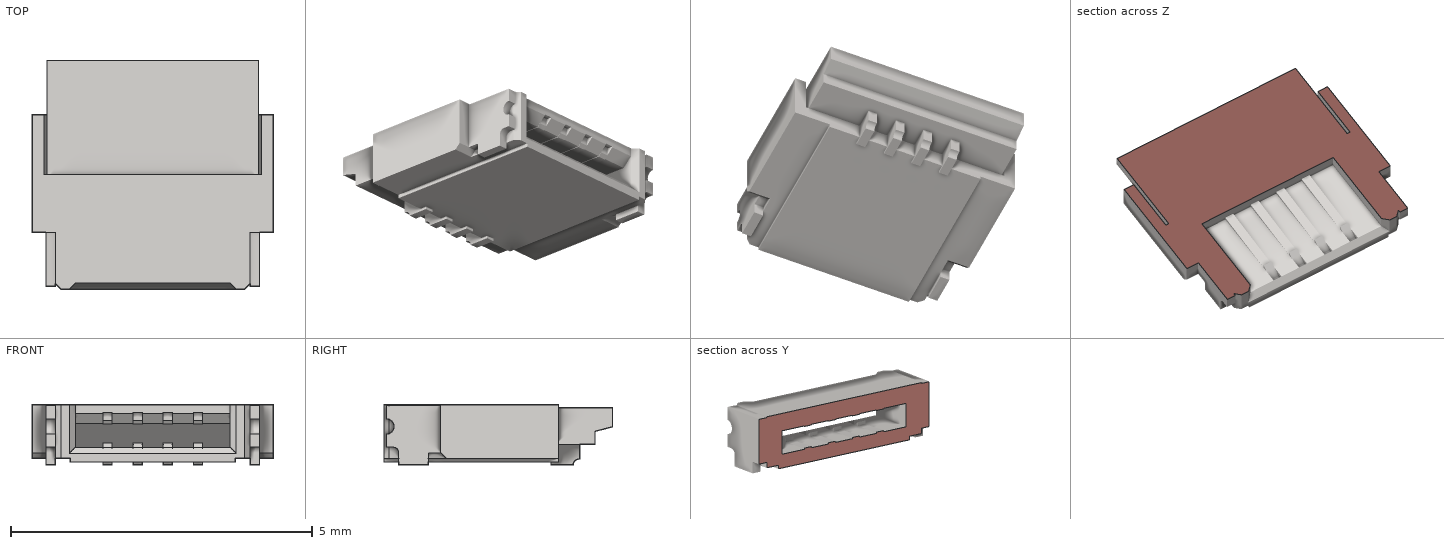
import cadquery as cq
import math


housing_width = 4.0
housing_length = 2.9
housing_bottom = 0.107
housing_top = 1.0
nose_width = 3.23
nose_length = 0.945
nose_corner_chamfer = 0.09
wing_bottom_chamfer = 0.093
base_width = 2.74
base_bottom = 0.045

mouth_bevel = 0.1
cavity_width = 2.57
cavity_depth = 1.6
cavity_floor = 0.292
roof_underside = 0.853
cavity_ceiling = 0.69

contact_count = 4
contact_pitch = 0.5
contact_width = 0.155
slot_bottom = 0.2
lower_peak_y = 0.41
lower_peak_z = 0.36
lower_ramp_angle = 36
lower_arm_angle = 2.4
upper_slot_top = 0.867
upper_front_y = 0.21
upper_front_top = 0.817
upper_front_bottom = 0.74
upper_arm_bottom = 0.68
upper_nose_angle = 17
upper_ramp_angle = 48

pocket_width = 3.61
block_width = 3.51
block_front = 1.905
block_rear = 3.8
block_top = 0.95
block_bottom = 0.34
block_step_y = 3.508
block_step_z = 0.556
block_rear_bottom = 0.631

foot_front = 2.775
foot_rear = 3.255
foot_notch_radius = 0.095
foot_heel = 0.015

tab_thickness = 0.16
tab_front = 0.046
tab_top = 0.985
tab_bottom = 0.2
tab_toe_bottom = 0.294
tab_foot_front = 0.248
tab_foot_rear = 0.74
tab_toe_radius = 0.095
tab_heel_radius = 0.02
tab_notch_z = 0.637
tab_notch_radius = 0.124


diagonal = math.sqrt(0.5)


def box(width, front, rear, bottom, top):
    """Block centred on X = 0 between the given Y and Z limits."""
    return cq.Workplane("XY", origin=(0, front, bottom)).box(
        width, rear - front, top - bottom, centered=(True, False, False)
    )


def along_x(profile, centre_x, width):
    """Extrude a closed YZ profile to the given width about centre_x."""
    return profile.extrude(width).translate((centre_x - width / 2, 0, 0))


def side_profile(points):
    """Closed polygon of (y, z) points."""
    return cq.Workplane("YZ").polyline(points).close()


def make_housing():
    nose = box(nose_width, 0, nose_length, housing_bottom, housing_top)
    nose = nose.edges("|Z and <Y").chamfer(nose_corner_chamfer)
    wings = box(housing_width, nose_length, housing_length, housing_bottom, housing_top)
    wings = wings.edges("<Y and <Z").chamfer(wing_bottom_chamfer)
    keel = box(nose_width, nose_length, housing_length, housing_bottom, housing_top)
    base = box(base_width, 0, housing_length, base_bottom, housing_bottom)
    return nose.union(wings).union(keel).union(base)


def make_cavity():
    chamfer_rear = mouth_bevel + roof_underside - cavity_ceiling
    cavity = along_x(
        side_profile(
            [
                (mouth_bevel, cavity_floor),
                (cavity_depth, cavity_floor),
                (cavity_depth, cavity_ceiling),
                (chamfer_rear, cavity_ceiling),
                (mouth_bevel, roof_underside),
            ]
        ),
        0,
        cavity_width,
    )
    half_width = cavity_width / 2
    mouth_half_width = half_width + mouth_bevel
    mouth_floor = cavity_floor - mouth_bevel
    mouth = (
        cq.Workplane("XZ")
        .polyline(
            [
                (-mouth_half_width, housing_top),
                (-mouth_half_width, mouth_floor),
                (mouth_half_width, mouth_floor),
                (mouth_half_width, housing_top),
            ]
        )
        .close()
        .workplane(offset=-mouth_bevel)
        .polyline(
            [
                (-half_width, housing_top),
                (-half_width, cavity_floor),
                (half_width, cavity_floor),
                (half_width, housing_top),
            ]
        )
        .close()
        .loft(ruled=True)
    )
    return cavity.union(mouth)


def make_contact_slots(x):
    lower = box(contact_width, mouth_bevel, lower_peak_y, slot_bottom, cavity_floor)
    upper = box(contact_width, mouth_bevel, upper_front_y, cavity_ceiling, upper_slot_top)
    return lower.union(upper).translate((x, 0, 0))


def make_lower_contact(x):
    ramp_run = (lower_peak_z - slot_bottom) / math.tan(math.radians(lower_ramp_angle))
    arm_rise = (cavity_depth - lower_peak_y) * math.tan(math.radians(lower_arm_angle))
    return along_x(
        side_profile(
            [
                (lower_peak_y - ramp_run, slot_bottom),
                (lower_peak_y, lower_peak_z),
                (lower_peak_y, cavity_floor),
                (cavity_depth, cavity_floor + arm_rise),
                (cavity_depth, slot_bottom),
            ]
        ),
        x,
        contact_width,
    )


def make_upper_contact(x):
    nose_run = (upper_slot_top - upper_front_top) * math.tan(math.radians(upper_nose_angle))
    ramp_run = (upper_front_bottom - upper_arm_bottom) / math.tan(math.radians(upper_ramp_angle))
    return along_x(
        side_profile(
            [
                (upper_front_y - nose_run, upper_slot_top),
                (upper_front_y, upper_front_top),
                (upper_front_y, upper_front_bottom),
                (upper_front_y + ramp_run, upper_arm_bottom),
                (cavity_depth, upper_arm_bottom),
                (cavity_depth, upper_slot_top),
            ]
        ),
        x,
        contact_width,
    )


def make_solder_foot(x):
    notch_y = foot_rear - foot_heel
    notch_mid = foot_notch_radius * diagonal
    profile = (
        cq.Workplane("YZ")
        .moveTo(foot_front, 0)
        .lineTo(notch_y - foot_notch_radius, 0)
        .threePointArc((notch_y - notch_mid, notch_mid), (notch_y, foot_notch_radius))
        .lineTo(foot_rear, foot_notch_radius)
        .lineTo(foot_rear, block_bottom)
        .lineTo(foot_front, block_bottom)
        .close()
    )
    return along_x(profile, x, contact_width)


def make_plug_block():
    return along_x(
        side_profile(
            [
                (block_front, block_bottom),
                (block_step_y, block_bottom),
                (block_step_y, block_step_z),
                (block_rear, block_rear_bottom),
                (block_rear, block_top),
                (block_front, block_top),
            ]
        ),
        0,
        block_width,
    )


def make_tab(side):
    toe_y = tab_foot_front - tab_toe_radius
    toe_z = tab_toe_bottom - tab_toe_radius
    heel_y = tab_foot_rear + tab_heel_radius
    heel_z = tab_bottom - tab_heel_radius
    profile = (
        cq.Workplane("YZ")
        .moveTo(nose_length, tab_top)
        .lineTo(tab_front, tab_top)
        .lineTo(tab_front, tab_notch_z + tab_notch_radius)
        .threePointArc(
            (tab_front + tab_notch_radius, tab_notch_z),
            (tab_front, tab_notch_z - tab_notch_radius),
        )
        .lineTo(tab_front, tab_toe_bottom)
        .lineTo(toe_y, tab_toe_bottom)
        .threePointArc(
            (toe_y + tab_toe_radius * diagonal, toe_z + tab_toe_radius * diagonal),
            (tab_foot_front, toe_z),
        )
        .lineTo(tab_foot_front, 0)
        .lineTo(tab_foot_rear, 0)
        .lineTo(tab_foot_rear, heel_z)
        .threePointArc(
            (heel_y - tab_heel_radius * diagonal, heel_z + tab_heel_radius * diagonal),
            (heel_y, tab_bottom),
        )
        .lineTo(nose_length, tab_bottom)
        .close()
    )
    return along_x(profile, side * (nose_width + tab_thickness) / 2, tab_thickness)


first_contact_x = -contact_pitch * (contact_count - 1) / 2
contact_positions = [first_contact_x + i * contact_pitch for i in range(contact_count)]

result = make_housing().cut(make_cavity())
result = result.cut(box(pocket_width, block_front, housing_length, block_bottom, housing_top))
result = result.union(make_plug_block())

for contact_x in contact_positions:
    result = result.cut(make_contact_slots(contact_x))
    result = result.union(make_lower_contact(contact_x))
    result = result.union(make_upper_contact(contact_x))
    result = result.union(make_solder_foot(contact_x))

for tab_side in (-1, 1):
    result = result.union(make_tab(tab_side))